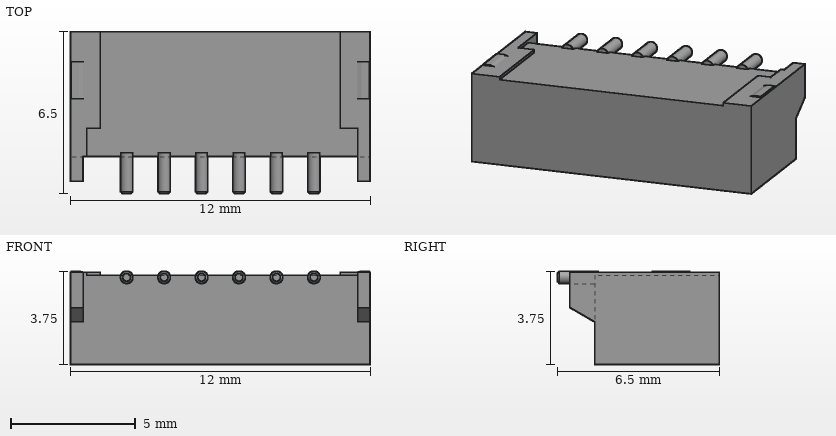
import cadquery as cq
import math

width = 12
body_depth = 5.0
body_height = 3.58

end_height = 3.7
arm_reach = 6
arm_width = 0.5
arm_slope_start = 1.7
arm_slope_angle = 30
plate_width = 1.2
plate_depth = 3.88
left_ledge_width = 0.65
right_ledge_width = arm_width

bump_height = 0.05
bump_back = 1.2
bump_length = 1.5
bump_inset = 0.04
bump_top_width = 0.31
bump_inner_edge = arm_width

pin_count = 6
pin_pitch = 1.5
pin_diameter = 0.5
pin_tip = 6.5
pin_embed = 0.15
pin_chamfer = 0.1
overall_height = end_height + bump_height
pin_height = overall_height - pin_diameter / 2


def make_body():
    """Plain housing block behind the arms and below the end plates."""
    block = cq.Workplane("XY").box(width, body_depth, body_height, centered=(True, False, False))
    return block.translate((0, -body_depth, 0))


def make_plate(side, ledge_width):
    """Raised plate at one end; side is -1 for the left end and +1 for the right."""
    outer = side * width / 2
    outline = [
        (outer, 0),
        (outer - side * plate_width, 0),
        (outer - side * plate_width, -plate_depth),
        (outer - side * ledge_width, -plate_depth),
        (outer - side * ledge_width, -body_depth),
        (outer, -body_depth),
    ]
    return cq.Workplane("XY").polyline(outline).close().extrude(end_height)


def make_arm(side):
    """Forward arm whose underside slopes up away from the body."""
    slope_rise = (arm_reach - body_depth) * math.tan(math.radians(arm_slope_angle))
    outline = [
        (-plate_depth, end_height),
        (-arm_reach, end_height),
        (-arm_reach, arm_slope_start + slope_rise),
        (-body_depth, arm_slope_start),
        (-plate_depth, arm_slope_start),
    ]
    arm_start = -width / 2 if side < 0 else width / 2 - arm_width
    return cq.Workplane("YZ", origin=(arm_start, 0, 0)).polyline(outline).close().extrude(arm_width)


def make_bump(side):
    """Low latch bump, flat on top with a bevel falling toward the middle."""
    outer = side * (width / 2 - bump_inset)
    outline = [
        (outer, end_height),
        (outer, overall_height),
        (outer - side * bump_top_width, overall_height),
        (side * (width / 2 - bump_inner_edge), end_height),
    ]
    return cq.Workplane("XZ", origin=(0, -bump_back, 0)).polyline(outline).close().extrude(bump_length)


def make_pin(x):
    """Round pin starting just inside the front face, chamfered at its free tip."""
    pin_start = body_depth - pin_embed
    return (
        cq.Workplane("XZ", origin=(x, -pin_start, pin_height))
        .circle(pin_diameter / 2)
        .extrude(pin_tip - pin_start)
        .faces("<Y")
        .chamfer(pin_chamfer)
    )


result = make_body()
for side, ledge_width in ((-1, left_ledge_width), (1, right_ledge_width)):
    result = result.union(make_plate(side, ledge_width))
    result = result.union(make_arm(side))
    result = result.union(make_bump(side))

first_pin = -(pin_count - 1) * pin_pitch / 2
for index in range(pin_count):
    result = result.union(make_pin(first_pin + index * pin_pitch))